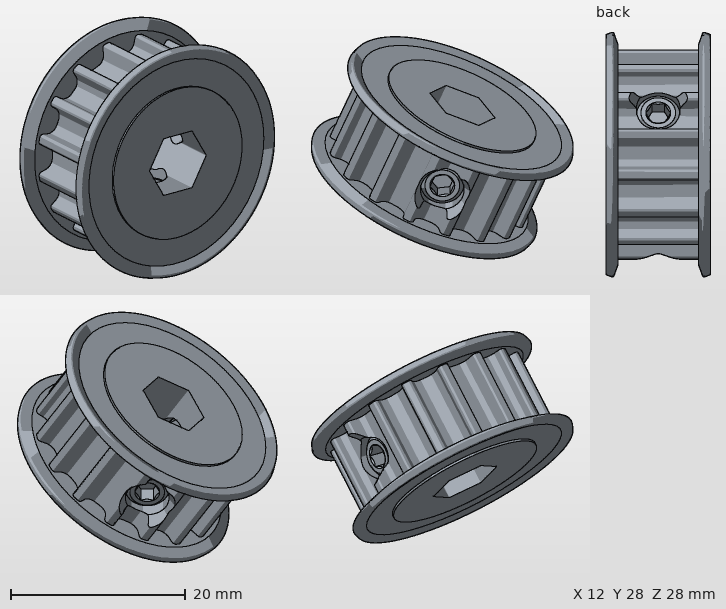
import cadquery as cq
import math


OVERALL_LENGTH = 12.0
FLANGE_RADIUS = 14.0

TOOTH_COUNT = 16
TIP_RADIUS = 12.17
ROOT_RADIUS = 10.1
GROOVE_FLAT_HALF = 0.3
GROOVE_ARC = 1.25
WALL_ANGLE = math.radians(13.5)
TIP_FILLET = 0.42
HUB_RADIUS = 9.15
HUB_PROTRUSION = 0.28
HEX_ACROSS_FLATS = 7.0
HEX_CORNER_RADIUS = 0.1

SHEET = 1.0
RIM_DEPTH = 1.4
RIM_ANGLE = math.radians(20)
RIM_FILLET = 0.25

SCREW_ANGLES = (30, -90)
SCREW_RADIUS = 2.5
SCREW_FACE = 9.57
SCREW_LENGTH = 5.0
SCREW_CHAMFER = 0.5
SOCKET_ACROSS_FLATS = 2.45
SOCKET_DEPTH = 1.95
PILOT_RADIUS = 2.25
FLARE_START = 10.63
FLARE_ANGLE = math.radians(30)

TOOTHED_HALF = OVERALL_LENGTH / 2 - RIM_DEPTH
HUB_HALF = TOOTHED_HALF + SHEET + HUB_PROTRUSION


def hexagon_diameter(across_flats):
    return across_flats / math.cos(math.radians(30))


def x_cylinder(radius, half_length):
    return cq.Workplane("YZ").circle(radius).extrude(half_length, both=True)


def radial_plane(distance, angle):
    """Plane facing outward at a distance from the pulley axis, its local x along X."""
    turn = math.radians(angle)
    outward = (0, math.cos(turn), math.sin(turn))
    origin = (0, distance * outward[1], distance * outward[2])
    return cq.Workplane(cq.Plane(origin=origin, xDir=(1, 0, 0), normal=outward))


def groove_cutter():
    """One tooth space centred on +Y, with rounded floor corners and flared tip fillets."""
    sin_wall = math.sin(WALL_ANGLE)
    cos_wall = math.cos(WALL_ANGLE)
    wall_foot = (
        ROOT_RADIUS + GROOVE_ARC * (1 - sin_wall),
        GROOVE_FLAT_HALF + GROOVE_ARC * cos_wall,
    )
    base_radial = wall_foot[0] - TIP_FILLET * sin_wall
    base_side = wall_foot[1] + TIP_FILLET * cos_wall
    along = base_radial * cos_wall + base_side * sin_wall
    across = base_side * cos_wall - base_radial * sin_wall
    wall_length = math.sqrt((TIP_RADIUS - TIP_FILLET) ** 2 - across ** 2) - along
    wall_top = (wall_foot[0] + wall_length * cos_wall, wall_foot[1] + wall_length * sin_wall)
    land_scale = TIP_RADIUS / (TIP_RADIUS - TIP_FILLET)
    land = (
        (base_radial + wall_length * cos_wall) * land_scale,
        (base_side + wall_length * sin_wall) * land_scale,
    )
    above_tip = TIP_RADIUS + 0.28
    half_outline = (
        cq.Workplane("YZ")
        .moveTo(ROOT_RADIUS, 0)
        .lineTo(ROOT_RADIUS, GROOVE_FLAT_HALF)
        .tangentArcPoint(wall_foot, relative=False)
        .lineTo(*wall_top)
        .tangentArcPoint(land, relative=False)
        .lineTo(above_tip, land[1])
        .lineTo(above_tip, 0)
    )
    return half_outline.mirrorX().extrude(TOOTHED_HALF, both=True)


def screw_hole(angle):
    """Radial hole: a pilot at the bore, the screw seat, then a cone through the teeth."""
    seat_start = SCREW_FACE - SCREW_LENGTH
    pilot = radial_plane(0, angle).circle(PILOT_RADIUS).extrude(seat_start)
    seat = radial_plane(seat_start, angle).circle(SCREW_RADIUS).extrude(FLARE_START - seat_start)
    flare_length = TIP_RADIUS + 0.28 - FLARE_START
    flare_end = SCREW_RADIUS + flare_length * math.tan(FLARE_ANGLE)
    flare = (
        radial_plane(FLARE_START, angle)
        .circle(SCREW_RADIUS)
        .workplane(offset=flare_length)
        .circle(flare_end)
        .loft()
    )
    return pilot.union(seat).union(flare)


def make_core():
    core = x_cylinder(TIP_RADIUS, TOOTHED_HALF)
    groove = groove_cutter()
    for i in range(TOOTH_COUNT):
        core = core.cut(groove.rotate((0, 0, 0), (1, 0, 0), i * 360 / TOOTH_COUNT))
    core = core.union(x_cylinder(HUB_RADIUS, HUB_HALF))
    hex_bore = (
        cq.Workplane("YZ")
        .polygon(6, hexagon_diameter(HEX_ACROSS_FLATS))
        .extrude(HUB_HALF, both=True)
        .edges("|X")
        .fillet(HEX_CORNER_RADIUS)
    )
    core = core.cut(hex_bore)
    for angle in SCREW_ANGLES:
        core = core.cut(screw_hole(angle))
    return core


def make_flange(side):
    """Flat sheet ring with its rim flared away from the teeth; side is +1 or -1 along X."""
    sin_rim = math.sin(RIM_ANGLE)
    cos_rim = math.cos(RIM_ANGLE)
    centre_depth = RIM_DEPTH - RIM_FILLET - (SHEET - 2 * RIM_FILLET) * cos_rim
    tip_depth = centre_depth + RIM_FILLET * (sin_rim - cos_rim)
    tip_radius = FLANGE_RADIUS - RIM_FILLET + RIM_FILLET * (sin_rim + cos_rim)
    inner_bend = tip_radius - tip_depth / math.tan(RIM_ANGLE)
    outer_bend = inner_bend - SHEET * math.tan(RIM_ANGLE / 2)
    section = [
        (0, HUB_RADIUS),
        (0, inner_bend),
        (tip_depth, tip_radius),
        (tip_depth + SHEET * cos_rim, tip_radius - SHEET * sin_rim),
        (SHEET, outer_bend),
        (SHEET, HUB_RADIUS),
    ]
    points = [(side * (TOOTHED_HALF + depth), radius) for depth, radius in section]
    flange = cq.Workplane("XY").polyline(points).close().revolve(360, (0, 0, 0), (1, 0, 0))
    rim_corners = cq.selectors.RadiusNthSelector(-1) + cq.selectors.RadiusNthSelector(-2)
    return flange.edges(rim_corners).fillet(RIM_FILLET)


def make_set_screw(angle):
    """Plain set screw with a chamfered hexagon socket in its outer face."""
    socket_diameter = hexagon_diameter(SOCKET_ACROSS_FLATS)
    face = radial_plane(SCREW_FACE, angle)
    body = face.circle(SCREW_RADIUS).extrude(-SCREW_LENGTH).edges().chamfer(SCREW_CHAMFER)
    socket = face.polygon(6, socket_diameter).extrude(-SOCKET_DEPTH)
    lead_in = face.circle(socket_diameter / 2).extrude(-socket_diameter / 2, taper=45)
    return body.cut(socket).cut(lead_in)


core = make_core()
flanges = [make_flange(side) for side in (-1, 1)]
set_screws = [make_set_screw(angle) for angle in SCREW_ANGLES]

result = cq.Compound.makeCompound(
    [core.val(), *[flange.val() for flange in flanges], *[screw.val() for screw in set_screws]]
)